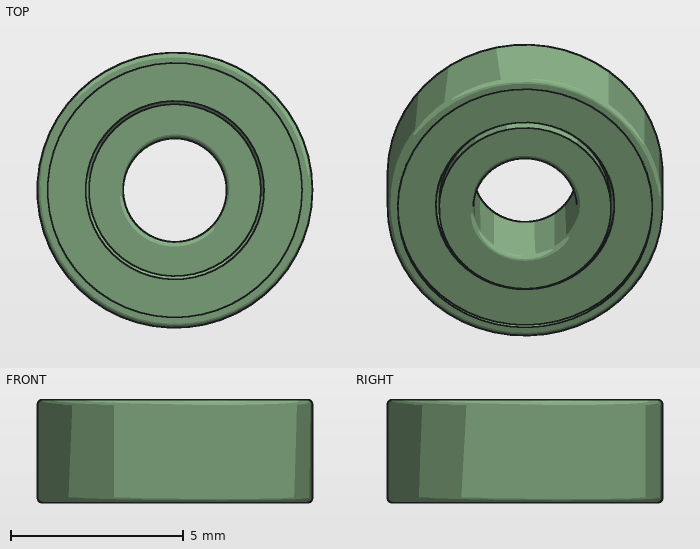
import cadquery as cq

outer_diameter = 8.0
width = 3.0
bore_diameter = 3.0
edge_radius = 0.15

outer_ring_inner_radius = 3.7
inner_ring_outer_radius = 2.5
seal_gap = 0.1

seal_recess = 0.2
seal_width = width - 2 * seal_recess

groove_wall_height = 0.18
groove_slope_height = 0.13


def annulus(outer_radius, inner_radius, height):
    """Plain ring around Z, centred on the origin."""
    return (
        cq.Workplane("XY")
        .workplane(offset=-height / 2)
        .circle(outer_radius)
        .circle(inner_radius)
        .extrude(height)
    )


def make_outer_ring():
    """Outer race with both outer rims rounded."""
    ring = annulus(outer_diameter / 2, outer_ring_inner_radius, width)
    outer_rims = cq.selectors.RadiusNthSelector(-1)
    return ring.faces("<Z or >Z").edges(outer_rims).fillet(edge_radius)


def make_inner_ring():
    """Inner race with both bore rims rounded."""
    ring = annulus(inner_ring_outer_radius, bore_diameter / 2, width)
    bore_rims = cq.selectors.RadiusNthSelector(0)
    return ring.faces("<Z or >Z").edges(bore_rims).fillet(edge_radius)


def make_seal():
    """Seal between the rings, with a sloped groove around the inner ring at each end."""
    groove_outer_radius = inner_ring_outer_radius + seal_gap
    seal_top = seal_width / 2
    slope_top = seal_top - groove_wall_height
    slope_bottom = slope_top - groove_slope_height
    return (
        cq.Workplane("XZ")
        .moveTo(outer_ring_inner_radius, seal_top)
        .lineTo(groove_outer_radius, seal_top)
        .lineTo(groove_outer_radius, slope_top)
        .lineTo(inner_ring_outer_radius, slope_bottom)
        .lineTo(inner_ring_outer_radius, -slope_bottom)
        .lineTo(groove_outer_radius, -slope_top)
        .lineTo(groove_outer_radius, -seal_top)
        .lineTo(outer_ring_inner_radius, -seal_top)
        .close()
        .revolve(360, (0, 0, 0), (0, 1, 0))
    )


outer_ring = make_outer_ring()
inner_ring = make_inner_ring()
seal = make_seal()

result = cq.Compound.makeCompound([outer_ring.val(), inner_ring.val(), seal.val()])